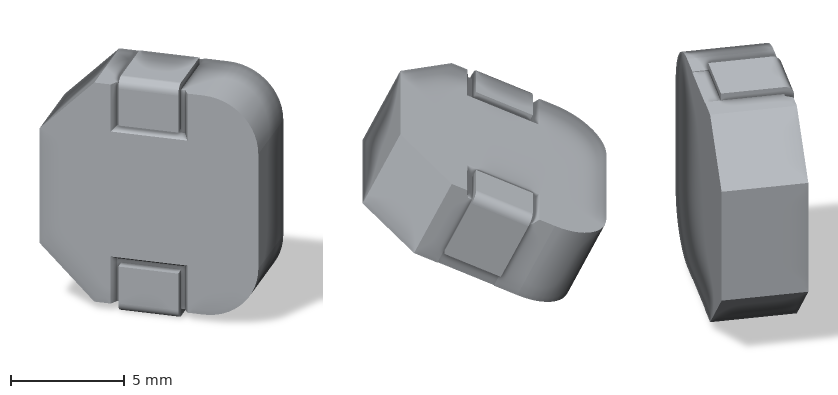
import cadquery as cq
import math

total_height = 11.2
width = 10.0
total_depth = 4.0
terminal_standoff = 0.11
terminal_projection = 0.35
body_depth = total_depth - terminal_standoff
body_height = total_height - 2 * terminal_projection
corner_size = 2.5

pocket_depth = 0.34
pocket_floor_width = 3.11
pocket_floor_height = 2.06
pocket_wall_draft = 30.0
pocket_wall_slope = pocket_depth * math.tan(math.radians(pocket_wall_draft))

terminal_width = 2.74
foot_thickness = pocket_depth + terminal_standoff
bend_radius = foot_thickness
terminal_foot_length = 2.22
terminal_back_gap = 0.72
channel_depth = 0.05

half_height = body_height / 2
seat_height = half_height - channel_depth
terminal_end_y = body_depth - terminal_back_gap


def make_block():
    """Block with two chamfered corners on -X and two rounded corners on +X."""
    block = cq.Workplane("XY").box(width, body_depth, body_height).translate((0, body_depth / 2, 0))
    block = block.edges("|Y and <X").chamfer(corner_size)
    return block.edges("|Y and >X").fillet(corner_size)


def pocket_section(y, slope_fraction):
    """Pocket rectangle at depth y, widened by a fraction of its wall slopes."""
    half_width = pocket_floor_width / 2 + slope_fraction * pocket_wall_slope
    bottom = half_height - pocket_floor_height - slope_fraction * pocket_wall_slope
    return cq.Wire.makePolygon(
        [
            cq.Vector(-half_width, y, bottom),
            cq.Vector(half_width, y, bottom),
            cq.Vector(half_width, y, half_height),
            cq.Vector(-half_width, y, half_height),
        ],
        close=True,
    )


def make_upper_recess():
    """Tapered front pocket joined with the shallow channel across the upper face."""
    pocket = cq.Solid.makeLoft([pocket_section(0, 1), pocket_section(pocket_depth, 0)], True)
    channel = cq.Workplane("XY").box(
        terminal_width, body_depth, channel_depth, centered=(True, False, False)
    ).translate((0, 0, seat_height))
    return channel.union(cq.Workplane(pocket))


def make_housing():
    recess = make_upper_recess()
    return make_block().cut(recess).cut(recess.mirror("XY"))


def make_upper_terminal():
    """Strip bent around the edge where the channel meets the pocket floor."""
    front_y = -terminal_standoff
    top_z = total_height / 2
    bend_center_z = top_z - bend_radius
    foot_z = top_z - terminal_foot_length
    bend_offset = bend_radius * math.sqrt(0.5)
    return (
        cq.Workplane("YZ")
        .moveTo(pocket_depth, foot_z)
        .lineTo(front_y, foot_z)
        .lineTo(front_y, bend_center_z)
        .threePointArc(
            (pocket_depth - bend_offset, bend_center_z + bend_offset),
            (pocket_depth, top_z),
        )
        .lineTo(terminal_end_y, top_z)
        .lineTo(terminal_end_y, seat_height)
        .lineTo(pocket_depth, seat_height)
        .close()
        .extrude(terminal_width / 2, both=True)
    )


housing = make_housing()
terminals = []
for mirrored in (False, True):
    terminal = make_upper_terminal()
    if mirrored:
        terminal = terminal.mirror("XY")
    terminals.append(terminal.val())

result = cq.Compound.makeCompound([housing.val(), *terminals])